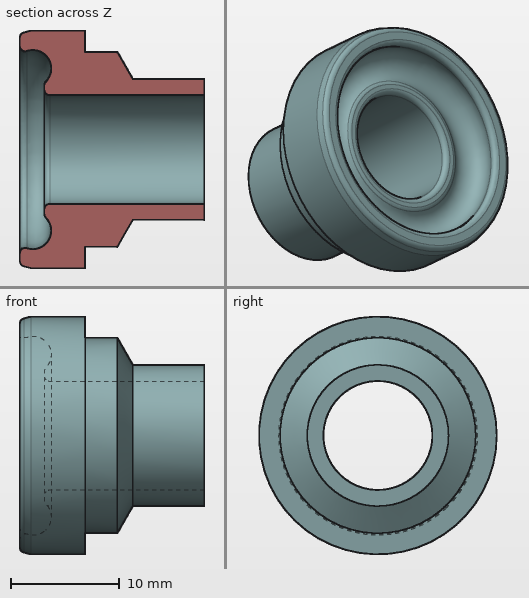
import cadquery as cq
import math

total_length = 17.0
flange_length = 6.02
shoulder_end = 9.0
cone_end = 10.42
hub_face = 2.25

flange_radius = 21.9 / 2
shoulder_radius = 18.0 / 2
tube_radius = 13.0 / 2
bore_radius = 10.0 / 2

taper_length = 1.0
taper_angle = 15
edge_round = 0.5

groove_section_radius = 1.69
groove_center_x = 1.2
groove_center_radius = 7.47


def groove_half_width(x):
    """Radial half width of the groove's circular section at axial position x."""
    return math.sqrt(groove_section_radius**2 - (x - groove_center_x) ** 2)


rim_outer_radius = flange_radius - taper_length * math.tan(math.radians(taper_angle))
rim_inner_radius = groove_center_radius + groove_half_width(0)
hub_outer_radius = groove_center_radius - groove_half_width(hub_face)
groove_bottom = (groove_center_x + groove_section_radius, groove_center_radius)

profile = (
    cq.Workplane("XY")
    .moveTo(0, rim_inner_radius)
    .lineTo(0, rim_outer_radius)
    .lineTo(taper_length, flange_radius)
    .lineTo(flange_length, flange_radius)
    .lineTo(flange_length, shoulder_radius)
    .lineTo(shoulder_end, shoulder_radius)
    .lineTo(cone_end, tube_radius)
    .lineTo(total_length, tube_radius)
    .lineTo(total_length, bore_radius)
    .lineTo(hub_face, bore_radius)
    .lineTo(hub_face, hub_outer_radius)
    .threePointArc(groove_bottom, (0, rim_inner_radius))
    .close()
)
body = profile.revolve(360, (0, 0, 0), (1, 0, 0))

pick_margin = 0.02
rim_edges = body.faces("<X").edges()
hub_edges = body.faces(cq.selectors.BoxSelector(
    (hub_face - pick_margin, -hub_outer_radius, -hub_outer_radius),
    (hub_face + pick_margin, hub_outer_radius, hub_outer_radius),
)).edges()
result = body.newObject(rim_edges.vals() + hub_edges.vals()).fillet(edge_round)